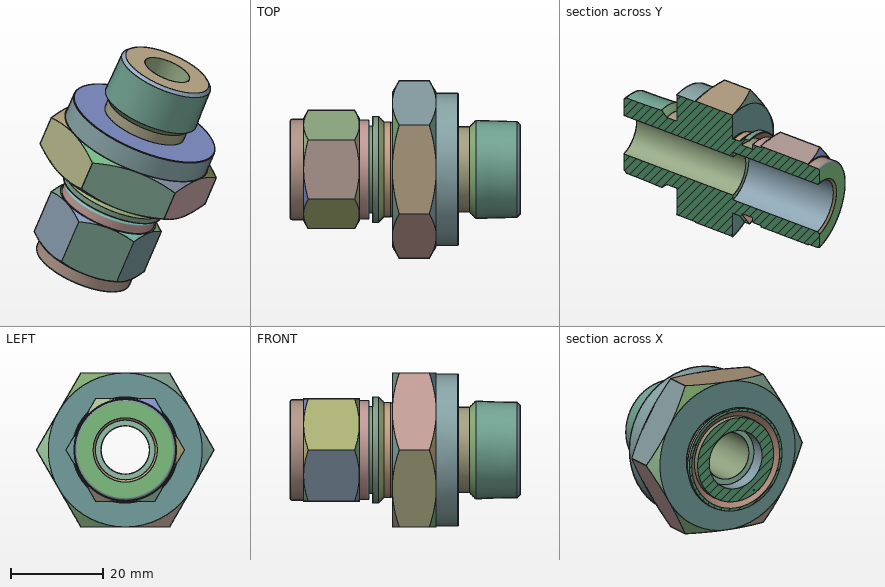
import cadquery as cq
import math


nut_hex_start = 2.9
nut_hex_end = 14.95
nut_end = 17.08
ridge_start = 17.85
ridge_cone_start = 19.1
ridge_cone_end = 20.3
shoulder_end = 21.7
body_hex_start = 22.1
body_hex_end = 31.6
flange_end = 36.4
thread_end = 49.8

nut_rim_diameter = 21.8
nut_skirt_diameter = 21.5
gap_diameter = 18.9
ridge_land = 0.15
ridge_diameter = 23.0
shoulder_diameter = 20.6
shoulder_root_diameter = 20.3
flange_diameter = 33.0
relief_diameter = 18.5
thread_diameter = 21.25
thread_tip_diameter = 20.75

corners_per_flats = 1 / math.cos(math.pi / 6)
nut_across_flats = 22.2
nut_corner_diameter = nut_across_flats * corners_per_flats
body_across_flats = 33.33
body_corner_diameter = 38.45
hex_chamfer_angle = 30

nut_rim_fillet = 0.5
nut_skirt_fillet = 0.35
flange_chamfer = 0.15
relief_length = 2.4
thread_chamfer = 0.7

tube_bore_diameter = 12.9
tube_bore_chamfer = 0.5
tube_bore_depth = 22.0
through_bore_diameter = 10.41


def cylinder(start, end, diameter):
    """Solid cylinder along X between two stations."""
    return cq.Workplane("YZ").workplane(offset=start).circle(diameter / 2).extrude(end - start)


def revolved(profile):
    """Solid of revolution about X from (station, diameter) points, closed along the axis."""
    points = [(profile[0][0], 0)]
    points += [(station, diameter / 2) for station, diameter in profile]
    points.append((profile[-1][0], 0))
    return cq.Workplane("XY").polyline(points).close().revolve(360, (0, 0, 0), (1, 0, 0))


def chamfered_hex(start, end, across_flats, corner_diameter):
    """Hexagonal prism with corners on Y, trimmed to a corner diameter and coned off at both ends."""
    across_corners = across_flats * corners_per_flats
    cone_length = (corner_diameter - across_flats) / 2 * math.tan(math.radians(hex_chamfer_angle))
    prism = cq.Workplane("YZ").workplane(offset=start).polygon(6, across_corners).extrude(end - start)
    envelope = revolved([
        (start, across_flats),
        (start + cone_length, corner_diameter),
        (end - cone_length, corner_diameter),
        (end, across_flats),
    ])
    return prism.intersect(envelope)


def make_nut():
    """Compression nut: rounded rim, hexagon and plain skirt with a rounded end."""
    rim = cylinder(0, nut_hex_end, nut_rim_diameter).faces("<X").edges().fillet(nut_rim_fillet)
    hexagon = chamfered_hex(nut_hex_start, nut_hex_end, nut_across_flats, nut_corner_diameter)
    skirt = cylinder(nut_hex_start, nut_end, nut_skirt_diameter)
    skirt = skirt.faces(">X").edges().fillet(nut_skirt_fillet)
    return rim.union(hexagon).union(skirt)


def make_neck():
    """Gap, ridge with a 45 degree undercut and a conical back, and stepped shoulder."""
    undercut_diameter = ridge_diameter - 2 * ridge_land
    undercut_end = ridge_start + (undercut_diameter - gap_diameter) / 2
    return revolved([
        (nut_hex_start, gap_diameter),
        (undercut_end, gap_diameter),
        (ridge_start, undercut_diameter),
        (ridge_start, ridge_diameter),
        (ridge_cone_start, ridge_diameter),
        (ridge_cone_end, shoulder_diameter),
        (shoulder_end, shoulder_diameter),
        (body_hex_start, shoulder_root_diameter),
    ])


def make_flange():
    """Round collar behind the body hexagon."""
    flange = cylinder(body_hex_end, flange_end, flange_diameter)
    return flange.faces(">X").edges().chamfer(flange_chamfer)


def make_thread_end():
    """Relief, 45 degree run-out and slightly tapered thread envelope with a chamfered tip."""
    relief_end = flange_end + relief_length
    runout_length = (thread_diameter - relief_diameter) / 2
    return revolved([
        (flange_end, relief_diameter),
        (relief_end, relief_diameter),
        (relief_end + runout_length, thread_diameter),
        (thread_end - thread_chamfer, thread_tip_diameter),
        (thread_end, thread_tip_diameter - 2 * thread_chamfer),
    ])


def make_bore():
    """Through bore, with the larger tube socket and its chamfered entry."""
    return revolved([
        (0, tube_bore_diameter + 2 * tube_bore_chamfer),
        (tube_bore_chamfer, tube_bore_diameter),
        (tube_bore_depth, tube_bore_diameter),
        (tube_bore_depth, through_bore_diameter),
        (thread_end, through_bore_diameter),
    ])


fitting = make_nut().union(make_neck())
body_hex = chamfered_hex(body_hex_start, body_hex_end, body_across_flats, body_corner_diameter)
fitting = fitting.union(body_hex).union(make_flange()).union(make_thread_end())
result = fitting.cut(make_bore())